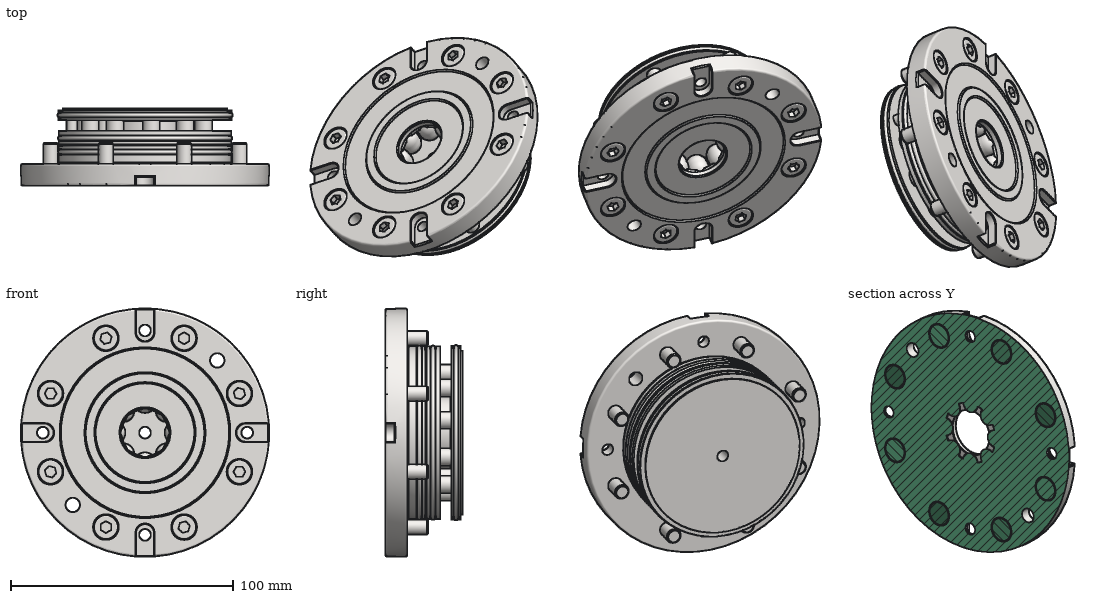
import cadquery as cq
import math


flange_radius = 56.0
flange_thickness = 10.0
rim_fillet = 1.0

collar_radius = 39.0
collar_end = 18.0
collar_fillet = 0.6
relief_radius = 38.6
relief_width = 0.7

recess_depth = 0.7
recess_radius = 37.9
ring_outer_radius = 27.3
ring_inner_radius = 22.2

socket_radius = 11.0
socket_chamfer = 0.6
socket_step = 3.6
socket_step_width = 0.5
socket_step_end = 4.7
socket_depth = 13.4
undercut_radius = 14.0
bore_radius = 2.6

bump_count = 8
bump_radius = 5.0
bump_reach = 8.8
bump_straight_start = 7.8
bump_straight_end = 10.3

pattern_radius = 46.0

slot_count = 4
slot_width = 8.1
slot_depth = 4.0
slot_end_distance = 45.2
slot_edge_chamfer = 0.3
slot_mouth_chamfer = 0.7
slot_hole_radius = 2.6
dowel_radius = 3.19
dowel_angles = (45.0, 225.0)

screw_count = 8
first_screw_angle = 22.5
shank_radius = 3.4
screw_length = 19.4
shank_chamfer = 0.6
head_radius = 5.4
head_height = 6.0
head_fillet = 0.7
hex_circumradius = 2.7
hex_depth = 3.0
hex_turn = 22.5
counterbore_radius = 5.6
counterbore_chamfer = 0.2

spigot_radius = 37.2
front_disc_start = 18.7
front_disc_end = 24.9
front_disc_radius = 39.0
front_disc_fillet = 0.6
rear_disc_start = 29.7
rear_disc_end = 34.0
rear_disc_radius = 39.2
boss_radius = 37.0
overall_depth = 35.0
core_radius = 16.2
core_chamfer = 0.5

post_radius = 3.9
post_circle_radius = 27.0
post_count = 10
first_post_angle = 12.0
stop_pin_radius = 2.5
stop_pin_angle = 174.1
stop_pin_distance = 33.2

bead_radius = 1.0
bead_standout = 0.3
groove_width = 2.6
groove_depth = 1.3
collar_bead_depth = 15.3
front_disc_bead_depth = 21.5
rear_disc_bead_depth = 31.9


def polar(angle, radius):
    """X and Z of a point at a polar angle around the Y axis."""
    turn = math.radians(angle)
    return radius * math.cos(turn), radius * math.sin(turn)


def rod(radius, start, end, place=(0.0, 0.0)):
    """Cylinder along +Y from one depth to another, centred on an (x, z) place."""
    base = cq.Vector(place[0], start, place[1])
    return cq.Workplane(obj=cq.Solid.makeCylinder(radius, end - start, base, cq.Vector(0, 1, 0)))


def cone(start_radius, end_radius, start, end, place=(0.0, 0.0)):
    """Cone along +Y from one depth to another, centred on an (x, z) place."""
    base = cq.Vector(place[0], start, place[1])
    return cq.Workplane(
        obj=cq.Solid.makeCone(start_radius, end_radius, end - start, base, cq.Vector(0, 1, 0))
    )


def turned(angle, shape):
    """Shape swung around the part axis so that +X moves towards +Z."""
    return shape.rotate((0, 0, 0), (0, 1, 0), -angle)


def add_bead(body, radius, depth):
    """Cut a groove in a cylindrical side and seat a round sealing bead in it."""
    start = depth - groove_width / 2
    end = depth + groove_width / 2
    groove = rod(radius + bead_standout, start, end).cut(rod(radius - groove_depth, start, end))
    bead_centre = radius + bead_standout - bead_radius
    root_radius = radius - groove_depth
    bead = (
        cq.Workplane("XY")
        .moveTo(root_radius, depth - bead_radius)
        .lineTo(bead_centre, depth - bead_radius)
        .threePointArc((bead_centre + bead_radius, depth), (bead_centre, depth + bead_radius))
        .lineTo(root_radius, depth + bead_radius)
        .close()
        .revolve(360, (0, 0, 0), (0, 1, 0))
    )
    return body.cut(groove).union(bead)


def face_recess():
    """Shallow front recess with sloping sides that leaves a raised ring standing."""
    outer = cone(recess_radius + recess_depth, recess_radius, 0, recess_depth)
    ring = cone(ring_outer_radius - recess_depth, ring_outer_radius, 0, recess_depth)
    inner = cone(ring_inner_radius + recess_depth, ring_inner_radius, 0, recess_depth)
    return outer.cut(ring).union(inner)


def socket():
    """Central socket with a narrowed lip, an undercut and round-ended bumps below it."""
    lip_radius = socket_radius - socket_step_width
    mouth_end = recess_depth + socket_chamfer
    cavity = cone(socket_radius + socket_chamfer, socket_radius, recess_depth, mouth_end)
    cavity = cavity.union(rod(socket_radius, mouth_end, socket_step))
    cavity = cavity.union(cone(socket_radius, lip_radius, socket_step, socket_step_end))
    cavity = cavity.union(rod(undercut_radius, socket_step_end, socket_depth))
    for index in range(bump_count):
        x, z = polar(index * 360 / bump_count, bump_reach + bump_radius)
        cavity = cavity.cut(rod(bump_radius, bump_straight_start, bump_straight_end, (x, z)))
        for dome_depth in (bump_straight_start, bump_straight_end):
            dome = cq.Workplane("XY").sphere(bump_radius).translate((x, dome_depth, z))
            cavity = cavity.cut(dome)
    return cavity


def slot_outline(width):
    """Outline on the front face of a slot with a round inner end, running out past the rim."""
    half = width / 2
    outer_end = flange_radius + half
    return (
        cq.Workplane("XZ")
        .moveTo(outer_end, -half)
        .lineTo(slot_end_distance, -half)
        .threePointArc((slot_end_distance - half, 0), (slot_end_distance, half))
        .lineTo(outer_end, half)
        .close()
    )


def rim_slot():
    """Slot open at the rim, bevelled on its front edge and at its mouth, with a through hole."""
    pocket = slot_outline(slot_width).extrude(-slot_depth)
    edge_width = slot_width + 2 * slot_edge_chamfer
    edge_bevel = slot_outline(edge_width).extrude(-slot_edge_chamfer, taper=45)
    mouth_width = slot_width + 2 * slot_mouth_chamfer
    mouth_height = 2 * (slot_depth + slot_mouth_chamfer)
    mouth = cq.Workplane("YZ", origin=(flange_radius, 0, 0)).rect(mouth_height, mouth_width)
    mouth_bevel = mouth.extrude(-slot_mouth_chamfer, taper=45)
    hole = rod(slot_hole_radius, 0, flange_thickness, (pattern_radius, 0))
    return pocket.union(edge_bevel).union(mouth_bevel).union(hole)


def screw_hole():
    """Counterbored clearance hole for one screw."""
    place = (pattern_radius, 0)
    mouth = cone(counterbore_radius + counterbore_chamfer, counterbore_radius, 0, counterbore_chamfer, place)
    counterbore = rod(counterbore_radius, 0, head_height, place)
    return mouth.union(counterbore).union(rod(shank_radius, 0, flange_thickness, place))


def make_housing():
    """Flange with its collar, front recess, socket, rim slots and holes."""
    flange = rod(flange_radius, 0, flange_thickness).edges().fillet(rim_fillet)
    relief_end = flange_thickness + relief_width
    collar = rod(collar_radius, relief_end, collar_end).faces(">Y").edges().fillet(collar_fillet)
    body = flange.union(rod(relief_radius, flange_thickness / 2, relief_end)).union(collar)
    body = add_bead(body, collar_radius, collar_bead_depth)
    body = body.cut(face_recess()).cut(socket()).cut(rod(bore_radius, 0, collar_end))
    for index in range(slot_count):
        body = body.cut(turned(index * 360 / slot_count, rim_slot()))
    for index in range(screw_count):
        body = body.cut(turned(first_screw_angle + index * 360 / screw_count, screw_hole()))
    for angle in dowel_angles:
        body = body.cut(rod(dowel_radius, 0, flange_thickness, polar(angle, pattern_radius)))
    return body


def make_rotor():
    """Two discs joined by a core and posts, with a front spigot and a rear boss."""
    front_disc = rod(front_disc_radius, front_disc_start, front_disc_end)
    front_disc = front_disc.faces("<Y").edges().fillet(front_disc_fillet)
    front_disc = add_bead(front_disc, front_disc_radius, front_disc_bead_depth)
    rear_disc = rod(rear_disc_radius, rear_disc_start, rear_disc_end)
    rear_disc = add_bead(rear_disc, rear_disc_radius, rear_disc_bead_depth)
    core_edge = rear_disc_start - core_chamfer
    body = front_disc.union(rear_disc)
    body = body.union(rod(spigot_radius, collar_end, front_disc_end))
    body = body.union(rod(boss_radius, rear_disc_start, overall_depth))
    body = body.union(rod(core_radius, front_disc_start, core_edge))
    body = body.union(cone(core_radius, core_radius - core_chamfer, core_edge, rear_disc_start))

    for index in range(post_count):
        place = polar(first_post_angle + index * 360 / post_count, post_circle_radius)
        body = body.union(rod(post_radius, front_disc_end, rear_disc_start, place))
    pin_place = polar(stop_pin_angle, stop_pin_distance)
    stop_pin = rod(stop_pin_radius, front_disc_end, rear_disc_start, pin_place)
    return body.union(stop_pin).cut(rod(bore_radius, collar_end, overall_depth))


def make_screw(angle):
    """Socket-head screw with its head flush with the front face."""
    place = (pattern_radius, 0)
    head = rod(head_radius, 0, head_height, place).faces("<Y").edges().fillet(head_fillet)
    shank = rod(shank_radius, head_height, screw_length, place)
    shank = shank.faces(">Y").edges().chamfer(shank_chamfer)
    hexagon = cq.Workplane("XZ").polygon(6, 2 * hex_circumradius).extrude(-hex_depth)
    hexagon = turned(hex_turn, hexagon).translate((pattern_radius, 0, 0))
    return turned(angle, head.union(shank).cut(hexagon))


housing = make_housing()
rotor = make_rotor()
screws = [make_screw(first_screw_angle + index * 360 / screw_count) for index in range(screw_count)]

result = cq.Compound.makeCompound(
    [housing.val(), rotor.val(), *[screw.val() for screw in screws]]
)